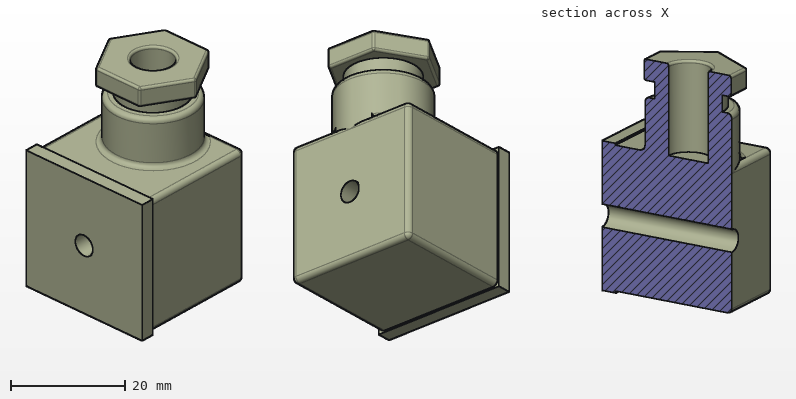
import cadquery as cq
import math

total_height = 44.35
plate_side = 27.7
plate_thickness = 2.8

housing_side = 27.0
housing_depth = 24.0
housing_round = 1.0
back_y = plate_thickness + housing_depth
centre_z = plate_side / 2
housing_top_z = centre_z + housing_side / 2

nut_flats = 18.0
nut_corners = nut_flats / math.cos(math.radians(30))
nut_height = 4
nut_round = 0.5
nut_offset = 0.18
neck_diameter = 14.0
neck_height = 3.0
collar_diameter = 18.0
collar_round = 1.0
flare_radius = 1.0
gland_y = back_y - collar_diameter / 2
nut_bottom_z = total_height - nut_height
collar_top_z = nut_bottom_z - neck_height

cable_bore_diameter = 8.03
cable_bore_round = 0.5
cable_bore_depth = total_height - housing_top_z
screw_hole_diameter = 4.15


def make_plate():
    return cq.Workplane("XY").box(
        plate_side, plate_thickness, plate_side, centered=(True, False, False)
    )


def make_housing():
    block = (
        cq.Workplane("XY")
        .box(housing_side, housing_depth, housing_side, centered=(True, False, True))
        .translate((0, plate_thickness, centre_z))
    )
    return block.edges("|Y or >Y").fillet(housing_round)


def gland_cylinder(diameter, bottom_z, top_z):
    return (
        cq.Workplane("XY", origin=(0, gland_y, bottom_z))
        .circle(diameter / 2)
        .extrude(top_z - bottom_z)
    )


def make_collar():
    foot_z = housing_top_z - housing_round
    return gland_cylinder(collar_diameter, foot_z, collar_top_z).faces(">Z").edges().fillet(collar_round)


def make_flare():
    """Concave round at the collar foot, ending where the rounded back edge begins."""
    radius = collar_diameter / 2
    ring = (
        cq.Workplane("XZ", origin=(0, gland_y, housing_top_z))
        .lineTo(radius + flare_radius, 0)
        .radiusArc((radius, flare_radius), flare_radius)
        .lineTo(0, flare_radius)
        .close()
        .revolve(360, (0, 0), (0, 1))
    )
    limit = cq.Workplane("XY").box(
        plate_side, back_y - housing_round, total_height, centered=(True, False, False)
    )
    return ring.intersect(limit)


def make_nut():
    hexagon = (
        cq.Workplane("XY", origin=(0, gland_y - nut_offset, nut_bottom_z))
        .polygon(6, nut_corners)
        .extrude(nut_height)
    )
    return hexagon.edges().fillet(nut_round)


def make_cable_bore():
    """Blind bore with a rounded mouth."""
    radius = cable_bore_diameter / 2
    return (
        cq.Workplane("XZ", origin=(0, gland_y, total_height))
        .lineTo(radius + cable_bore_round, 0)
        .radiusArc((radius, -cable_bore_round), -cable_bore_round)
        .lineTo(radius, -cable_bore_depth)
        .lineTo(0, -cable_bore_depth)
        .close()
        .revolve(360, (0, 0), (0, 1))
    )


def make_screw_hole():
    return (
        cq.Workplane("XZ", origin=(0, 0, centre_z))
        .circle(screw_hole_diameter / 2)
        .extrude(-back_y)
    )


neck = gland_cylinder(neck_diameter, collar_top_z, nut_bottom_z)
body = make_plate().union(make_housing()).union(make_collar()).union(make_flare())
body = body.union(neck).union(make_nut())
result = body.cut(make_cable_bore()).cut(make_screw_hole())